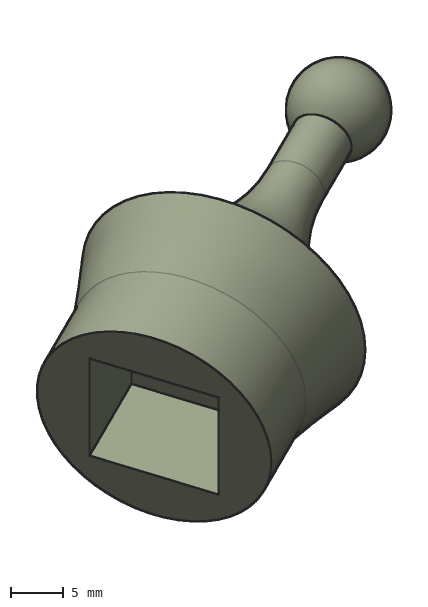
import cadquery as cq
import math

total_length = 50
base_length = 8.5
rim_position = 17
neck_start = 34.4

base_diameter = 24
rim_diameter = 29
neck_diameter = 6
ball_diameter = 10

socket_width = 13.2
socket_depth = 10.2

base_radius = base_diameter / 2
rim_radius = rim_diameter / 2
neck_radius = neck_diameter / 2
ball_radius = ball_diameter / 2
ball_center = total_length - ball_radius
neck_end = ball_center - math.sqrt(ball_radius**2 - neck_radius**2)


def shoulder_midpoint():
    """Point halfway along the concave arc that runs from the rim smoothly into the neck."""
    rise = neck_start - rim_position
    step = rim_radius - neck_radius
    arc_radius = (rise**2 + step**2) / (2 * step)
    half_angle = math.asin(rise / arc_radius) / 2
    radius = neck_radius + arc_radius * (1 - math.cos(half_angle))
    return radius, neck_start - arc_radius * math.sin(half_angle)


def turned_body():
    """Base, flare, concave shoulder, neck and ball revolved about the Y axis."""
    profile = (
        cq.Workplane("XY")
        .lineTo(base_radius, 0)
        .lineTo(base_radius, base_length)
        .lineTo(rim_radius, rim_position)
        .threePointArc(shoulder_midpoint(), (neck_radius, neck_start))
        .lineTo(neck_radius, neck_end)
        .threePointArc((ball_radius, ball_center), (0, total_length))
        .close()
    )
    return profile.revolve(360, (0, 0, 0), (0, 1, 0))


def square_socket():
    """Square prism reaching into the body from the base face."""
    return cq.Workplane("XZ").rect(socket_width, socket_width).extrude(-socket_depth)


result = turned_body().cut(square_socket())